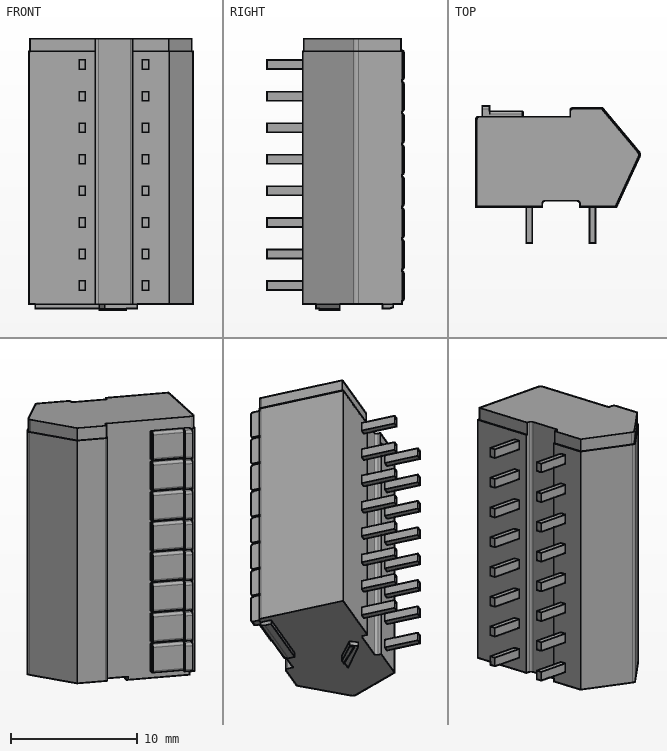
import cadquery as cq


total_height = 21.5
total_depth = 10.85

pole_count = 8
housing_height = 20.0
pole_pitch = housing_height / pole_count

edge_radius = 0.22
back_wall_y = 7.2
ridge_left_x = 7.45
ridge_right_x = 10.02
ridge_y = 7.9
nose_x = 13.07
nose_y = 4.24
nose_radius = 0.37
pin_wall_right_x = 11.12

groove_left_x = 5.27
groove_right_x = 8.23
groove_depth = 0.52

cap_inset = 0.09

pin_length = 2.82
pin_width = 0.5
pin_height = 0.73
pin_left_x = 3.98
pin_row_count = 2
pin_row_spacing = 5.0
first_pin_z = 1.46

lever_left_x = 0.5
lever_post_right_x = 1.1
lever_right_x = 3.75
lever_top_y = total_depth - pin_length
lever_bar_y = 7.63
lever_height = 2.36
first_lever_z = 0.24
lever_tip_chamfer = 0.09

rib_front_y = 6.32
rib_right_x = 5.6
rib_height = 0.37
rib_bevel_width = 0.35
rib_bevel_height = 0.1
key_left = (5.6, 1.65)
key_back_y = 2.97
key_back_left_x = 7.29
key_base_nose = (6.0, 1.05)
key_base_right_x = 8.6
key_step_nose = (5.83, 1.33)
key_step_right_x = 7.72
key_height = 0.5

cap_height = total_height - housing_height - key_height


def prism(points, bottom_z, height):
    """Extrude an XY outline upward from bottom_z."""
    return cq.Workplane("XY").workplane(offset=bottom_z).polyline(points).close().extrude(height)


def round_vertical_edge(body, x, y, radius):
    """Fillet the full-height edge that runs along Z at (x, y)."""
    return body.edges(cq.selectors.NearestToPointSelector((x, y, body.val().Center().z))).fillet(radius)


def make_envelope(height, inset=0):
    """Five-sided prism that bounds the housing: no groove and no step behind the levers."""
    corners = [(0, 0), (pin_wall_right_x, 0), (nose_x, nose_y), (ridge_right_x, ridge_y), (0, ridge_y)]
    outline = cq.Workplane("XY").polyline(corners).close()
    if inset > 0:
        outline = outline.offset2D(-inset)
    envelope = outline.extrude(height)
    return round_vertical_edge(envelope, nose_x, nose_y, nose_radius)


def make_section(height, inset=0):
    """Housing cross-section over the given height; an inset leaves the back wall and groove in place."""
    section = make_envelope(height, inset)
    back_step = cq.Workplane("XY").box(ridge_left_x, ridge_y - back_wall_y, height, centered=False)
    section = section.cut(back_step.translate((0, back_wall_y, 0)))
    groove = cq.Workplane("XY").box(groove_right_x - groove_left_x, groove_depth, height, centered=False)
    section = section.cut(groove.translate((groove_left_x, 0, 0)))
    rounded_corners = [
        (inset, back_wall_y),
        (ridge_left_x, ridge_y - inset),
        (groove_left_x, groove_depth),
        (groove_right_x, groove_depth),
    ]
    for x, y in rounded_corners:
        section = round_vertical_edge(section, x, y, edge_radius)
    return section


def make_cap():
    """End cap on top of the housing."""
    return make_section(cap_height, cap_inset).translate((0, 0, housing_height))


def make_pin(left_x, center_z):
    """Rectangular pin standing out from the pin-side wall."""
    pin = cq.Workplane("XY").box(pin_width, pin_length, pin_height, centered=(False, False, True))
    return pin.translate((left_x, -pin_length, center_z))


def rounded_block(left_x, right_x, top_y):
    """Block on the back wall with both outer edges along X rounded."""
    block = cq.Workplane("XY").box(right_x - left_x, top_y - back_wall_y, lever_height, centered=False)
    return block.edges(">Y and |X").fillet(edge_radius).translate((left_x, back_wall_y, 0))


def make_lever(bottom_z):
    """L-shaped lever: a tall post with a low bar beside it."""
    post = rounded_block(lever_left_x, lever_post_right_x, lever_top_y)
    bar = rounded_block(lever_left_x, lever_right_x, lever_bar_y)
    tip_edge = cq.selectors.NearestToPointSelector((lever_right_x, lever_bar_y, lever_height / 2))
    bar = bar.edges(tip_edge).chamfer(lever_tip_chamfer)
    return post.union(bar).translate((0, 0, bottom_z))


def make_rib():
    """Straight rib below the end face, flush with the back wall and bevelled along its lower back edge."""
    profile = [
        (rib_front_y, 0),
        (back_wall_y, 0),
        (back_wall_y, rib_bevel_height - rib_height),
        (back_wall_y - rib_bevel_width, -rib_height),
        (rib_front_y, -rib_height),
    ]
    rib = cq.Workplane("YZ").polyline(profile).close().extrude(rib_right_x - lever_left_x)
    return rib.translate((lever_left_x, 0, 0))


def make_key():
    """Slanted two-step key below the end face."""
    back_left = (key_back_left_x, key_back_y)
    base = prism(
        [key_left, key_base_nose, (key_base_right_x, key_back_y), back_left], -rib_height, rib_height
    )
    step = prism(
        [key_left, key_step_nose, (key_step_right_x, key_back_y), back_left], -key_height, key_height
    )
    return base.union(step)


result = make_section(housing_height).union(make_cap()).union(make_rib()).union(make_key())
for pole in range(pole_count):
    pole_z = pole * pole_pitch
    for row in range(pin_row_count):
        result = result.union(make_pin(pin_left_x + row * pin_row_spacing, first_pin_z + pole_z))
    result = result.union(make_lever(first_lever_z + pole_z))